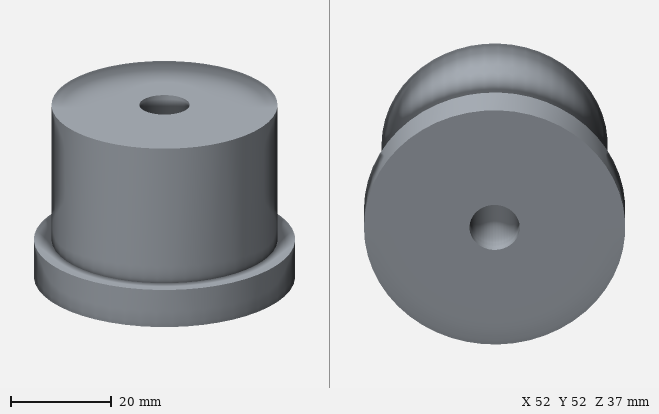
import cadquery as cq

flange_diameter = 52.0
flange_height = 8.0
body_diameter = 45.0
total_height = 37.0
bore_diameter = 10.0

flange = cq.Workplane("XY").circle(flange_diameter / 2).extrude(flange_height)

body = (
    flange.faces(">Z")
    .workplane()
    .circle(body_diameter / 2)
    .extrude(total_height - flange_height)
)

result = body.faces(">Z").workplane().circle(bore_diameter / 2).cutThruAll()